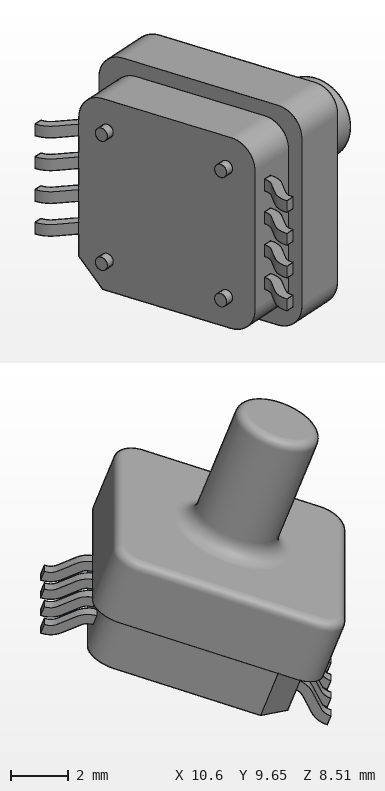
import cadquery as cq
import math

base_face = 0.36
cap_face = 2.42
cap_back = 4.84
port_end = 9.65

cap_side = 8.51
base_side = 7.39
corner_radius = 1.0
edge_round = 0.32

port_radius = 1.52
port_root_fillet = 0.62

pin_radius = 0.25
pin_spacing = 5.0
pin_embed = 0.11

lead_span = 10.57
lead_count = 4
lead_pitch = 1.27
lead_width = 0.45
lead_thickness = 0.37
lead_rise = 0.94
lead_bend_radius = 0.75
lead_bend_angle = math.radians(45)
lead_embed = 0.11


def block(side, front, back):
    """Square block centred on the Y axis, spanning front to back."""
    return cq.Workplane("XY").box(side, back - front, side).translate((0, (front + back) / 2, 0))


def disc(radius, front, back, x=0, z=0):
    """Cylinder along Y."""
    axis = cq.Vector(0, 1, 0)
    return cq.Workplane(cq.Solid.makeCylinder(radius, back - front, cq.Vector(x, front, z), axis))


def make_cap_and_port():
    cap = block(cap_side, cap_face, cap_back).edges("|Y").fillet(corner_radius)
    cap = cap.faces(">Y").edges().fillet(edge_round)
    port = disc(port_radius, cap_face, port_end).faces(">Y").edges().fillet(edge_round)
    root = cq.selectors.BoxSelector(
        (-port_radius - 0.11, cap_back - 0.01, -port_radius - 0.11),
        (port_radius + 0.11, cap_back + 0.01, port_radius + 0.11),
        boundingbox=True,
    )
    return cap.union(port).edges(root).fillet(port_root_fillet)


def make_base():
    base = block(base_side, base_face, cap_face)
    base = base.edges("|Y and >X").fillet(corner_radius)
    base = base.edges("|Y and <X and >Z").fillet(corner_radius)
    return base.edges("|Y and <X and <Z").chamfer(corner_radius)


def make_lead(z):
    """Left-hand lead: flat foot, two opposite bends and a sloping shank."""
    half = lead_thickness / 2
    sine = math.sin(lead_bend_angle)
    cosine = math.cos(lead_bend_angle)
    slope_rise = lead_rise - 2 * lead_bend_radius * (1 - cosine)
    bend_run = 2 * lead_bend_radius * sine + slope_rise / math.tan(lead_bend_angle)
    shoulder_x = -base_side / 2
    foot_x = shoulder_x - bend_run
    foot_center_y = half + lead_bend_radius
    shoulder_center_y = half + lead_rise - lead_bend_radius
    inner = lead_bend_radius - half
    outer = lead_bend_radius + half

    def foot_point(radius, angle):
        return (foot_x + radius * math.sin(angle), foot_center_y - radius * math.cos(angle))

    def shoulder_point(radius, angle):
        return (shoulder_x - radius * math.sin(angle), shoulder_center_y + radius * math.cos(angle))

    full = lead_bend_angle
    middle = full / 2
    profile = (
        cq.Workplane("XY", origin=(0, 0, z - lead_width / 2))
        .moveTo(-lead_span / 2, 0)
        .lineTo(*foot_point(outer, 0))
        .threePointArc(foot_point(outer, middle), foot_point(outer, full))
        .lineTo(*shoulder_point(inner, full))
        .threePointArc(shoulder_point(inner, middle), shoulder_point(inner, 0))
        .lineTo(shoulder_x + lead_embed, lead_rise)
        .lineTo(shoulder_x + lead_embed, lead_rise + lead_thickness)
        .lineTo(*shoulder_point(outer, 0))
        .threePointArc(shoulder_point(outer, middle), shoulder_point(outer, full))
        .lineTo(*foot_point(inner, full))
        .threePointArc(foot_point(inner, middle), foot_point(inner, 0))
        .lineTo(-lead_span / 2, lead_thickness)
        .close()
    )
    return profile.extrude(lead_width)


result = make_cap_and_port().union(make_base())

for x_side in (-1, 1):
    for z_side in (-1, 1):
        pin_x = x_side * pin_spacing / 2
        pin_z = z_side * pin_spacing / 2
        result = result.union(disc(pin_radius, 0, base_face + pin_embed, pin_x, pin_z))

for index in range(lead_count):
    lead = make_lead((index - (lead_count - 1) / 2) * lead_pitch)
    result = result.union(lead).union(lead.mirror("YZ"))